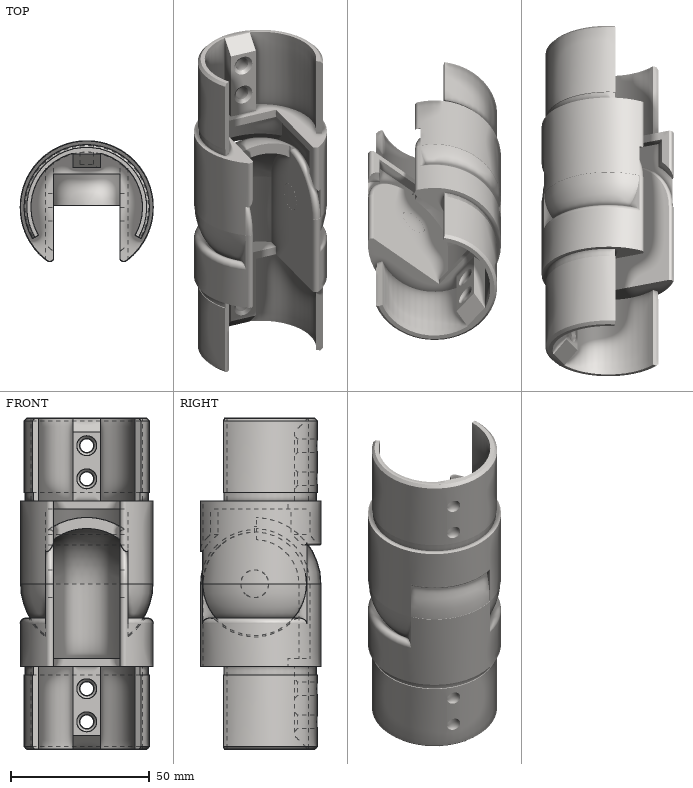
import cadquery as cq
import math


collar_radius = 24.1
collar_end_z = 30.0
slot_half_width = 12.0
slot_back_y = 12.0
lip_radius = 1.5
lip_inset = 1.4
end_wall = 3.0
hollow_radius = 20.0
hollow_end_z = collar_end_z - end_wall

spigot_radius = 22.7
spigot_inner_radius = 20.2
spigot_end_z = 60.0
spigot_chamfer = 1.0
spigot_gap_angle = 120.0
groove_radius = 22.35
groove_width = 3.0

pad_half_width = 5.0
pad_face_y = 14.4
pad_ramp = 5.0
screw_diameter = 5.0
screw_mouth_diameter = 7.2
screw_heights = (38.0, 50.0)

joint_half_width = 15.0
ball_radius = 24.0
tongue_rim_y = 0.6
arm_socket_radius = 24.4
arm_socket_rim_radius = 2.0
tongue_socket_radius = 26.8
tongue_socket_rim_radius = 0.8
pin_diameter = 10.0
pin_hole_diameter = 10.1

reach = 2 * spigot_end_z


def block(x_range, y_range, z_range):
    """Axis-aligned block between the given limits."""
    (x0, x1), (y0, y1), (z0, z1) = x_range, y_range, z_range
    return cq.Workplane("XY").box(x1 - x0, y1 - y0, z1 - z0, centered=False).translate((x0, y0, z0))


def slab(half_width):
    """Everything within half_width of the YZ plane."""
    return block((-half_width, half_width), (-reach, reach), (-reach, reach))


def cylinder(radius, z_start, z_end):
    return cq.Workplane("XY").workplane(offset=z_start).circle(radius).extrude(z_end - z_start)


def ball(radius):
    return cq.Workplane("XY").sphere(radius)


def lip_points(radius):
    """Start, middle and end of the slot-mouth rounding on the +X side of a round body."""
    centre_x = slot_half_width + lip_inset
    centre_distance = radius - lip_radius
    centre_y = -math.sqrt(centre_distance**2 - centre_x**2)
    outer = (centre_x * radius / centre_distance, centre_y * radius / centre_distance)
    inner = (slot_half_width, centre_y - math.sqrt(lip_radius**2 - lip_inset**2))
    middle = (centre_x, centre_y - lip_radius)
    return outer, middle, inner


def mirrored(point):
    return (-point[0], point[1])


def collar():
    """Slotted round collar from the pivot plane up to the spigot."""
    outer, middle, inner = lip_points(collar_radius)
    return (
        cq.Workplane("XY")
        .moveTo(*outer)
        .threePointArc((0, collar_radius), mirrored(outer))
        .threePointArc(mirrored(middle), mirrored(inner))
        .lineTo(-slot_half_width, slot_back_y)
        .lineTo(slot_half_width, slot_back_y)
        .lineTo(*inner)
        .threePointArc(middle, outer)
        .close()
        .extrude(collar_end_z)
    )


def spigot():
    """Open tube with an undercut at the collar and a chamfered free end."""
    groove_end_z = collar_end_z + groove_width
    profile = [
        (spigot_inner_radius, collar_end_z),
        (groove_radius, collar_end_z),
        (groove_radius, groove_end_z),
        (spigot_radius, groove_end_z),
        (spigot_radius, spigot_end_z - spigot_chamfer),
        (spigot_radius - spigot_chamfer, spigot_end_z),
        (spigot_inner_radius, spigot_end_z),
    ]
    return (
        cq.Workplane("XZ")
        .polyline(profile)
        .close()
        .revolve(360 - spigot_gap_angle, (0, 0, 0), (0, 1, 0))
        .rotate((0, 0, 0), (0, 0, 1), spigot_gap_angle / 2 - 90)
    )


def screw_pad():
    """Flat pad on the back of the spigot, sloping off at the free end."""
    root_y = (spigot_inner_radius + groove_radius) / 2
    ramp_y = pad_face_y + pad_ramp
    profile = [
        (pad_face_y, collar_end_z),
        (root_y, collar_end_z),
        (root_y, spigot_end_z),
        (ramp_y, spigot_end_z),
        (pad_face_y, spigot_end_z - pad_ramp),
    ]
    return cq.Workplane("YZ").polyline(profile).close().extrude(pad_half_width, both=True)


def screw_hole(height):
    """Hole along Y with a 45 degree countersink in the pad face."""
    mouth_radius = screw_mouth_diameter / 2
    hole_radius = screw_diameter / 2
    profile = [
        (0, pad_face_y),
        (mouth_radius, pad_face_y),
        (hole_radius, pad_face_y + mouth_radius - hole_radius),
        (hole_radius, collar_radius),
        (0, collar_radius),
    ]
    return (
        cq.Workplane("XY")
        .polyline(profile)
        .close()
        .revolve(360, (0, 0, 0), (0, 1, 0))
        .translate((0, 0, height))
    )


def connector_half():
    """Collar with its spigot, pad and screw holes, on the +Z side of the pivot."""
    half = collar().union(spigot()).union(screw_pad())
    for height in screw_heights:
        half = half.cut(screw_hole(height))
    return half


def pivot_pin(diameter):
    """Round bar along X between the fork arms, interrupted by the slot."""
    bar = cq.Workplane("YZ").circle(diameter / 2).extrude(joint_half_width, both=True)
    return bar.cut(slab(slot_half_width))


def rimmed_socket(radius, rim_radius):
    """Cutter above the pivot: a ball socket whose rim is rounded into the collar's outside."""
    rim_r = collar_radius - rim_radius
    rim_z = math.sqrt((radius + rim_radius) ** 2 - rim_r**2)
    socket_share = radius / (radius + rim_radius)
    socket_angle = math.atan2(rim_z, rim_r)
    middle_angle = (math.pi / 2 + socket_angle) / 2
    rim_middle_angle = (socket_angle - math.pi) / 2
    return (
        cq.Workplane("XZ")
        .moveTo(0, radius)
        .threePointArc(
            (radius * math.cos(middle_angle), radius * math.sin(middle_angle)),
            (rim_r * socket_share, rim_z * socket_share),
        )
        .threePointArc(
            (rim_r + rim_radius * math.cos(rim_middle_angle), rim_z + rim_radius * math.sin(rim_middle_angle)),
            (collar_radius, rim_z),
        )
        .lineTo(reach, rim_z)
        .lineTo(reach, 0)
        .lineTo(0, 0)
        .close()
        .revolve()
    )


def make_fork():
    """Upper body: two arms outside the tongue, each carrying a stub of the pivot pin."""
    gap = slab(joint_half_width)
    front = block((-reach, reach), (-reach, 0), (0, reach))
    back = block((-reach, reach), (0, reach), (0, reach))
    below_pivot = block((-reach, reach), (-reach, reach), (-reach, 0))
    arm_ends = ball(ball_radius).intersect(below_pivot).cut(gap)
    back_socket = rimmed_socket(tongue_socket_radius, tongue_socket_rim_radius)
    return (
        connector_half()
        .cut(cylinder(hollow_radius, 0, hollow_end_z).intersect(gap))
        .cut(back_socket.intersect(gap).intersect(back))
        .cut(ball(tongue_socket_radius).intersect(gap).intersect(front))
        .union(arm_ends)
        .union(pivot_pin(pin_diameter))
    )


def swung_slot():
    """The slot and its rounded mouth, swung up from -Y about the pivot axis."""
    outer, middle, inner = lip_points(ball_radius)
    return (
        cq.Workplane("XY")
        .moveTo(-slot_half_width, 0)
        .lineTo(slot_half_width, 0)
        .lineTo(*inner)
        .threePointArc(middle, outer)
        .lineTo(outer[0], -collar_radius)
        .lineTo(-outer[0], -collar_radius)
        .lineTo(*mirrored(outer))
        .threePointArc(mirrored(middle), mirrored(inner))
        .close()
        .revolve(90, (0, 0, 0), (-1, 0, 0))
    )


def tongue_top():
    """Ball-shaped end of the tongue, closed at the back and slotted at the front."""
    above_pivot = block((-joint_half_width, joint_half_width), (-reach, reach), (0, reach))
    rim_cut = block((-slot_half_width, slot_half_width), (-reach, tongue_rim_y), (0, reach))
    return ball(ball_radius).intersect(above_pivot).cut(swung_slot()).cut(rim_cut)


def tongue_hollow():
    """Round-topped cavity between the tongue's cheeks."""
    profile = (
        cq.Workplane("XZ")
        .moveTo(0, -hollow_end_z)
        .lineTo(hollow_radius, -hollow_end_z)
        .lineTo(hollow_radius, 0)
        .radiusArc((0, hollow_radius), -hollow_radius)
        .close()
    )
    return profile.revolve().intersect(slab(slot_half_width))


def make_tongue():
    """Lower body: fits between the fork arms and turns on their pin stubs."""
    arm_sockets = rimmed_socket(arm_socket_radius, arm_socket_rim_radius).cut(slab(joint_half_width))
    return (
        connector_half()
        .cut(arm_sockets)
        .rotate((0, 0, 0), (0, 1, 0), 180)
        .union(tongue_top())
        .cut(tongue_hollow())
        .cut(pivot_pin(pin_hole_diameter))
    )


fork = make_fork()
tongue = make_tongue()
result = cq.Compound.makeCompound([*fork.solids().vals(), *tongue.solids().vals()])